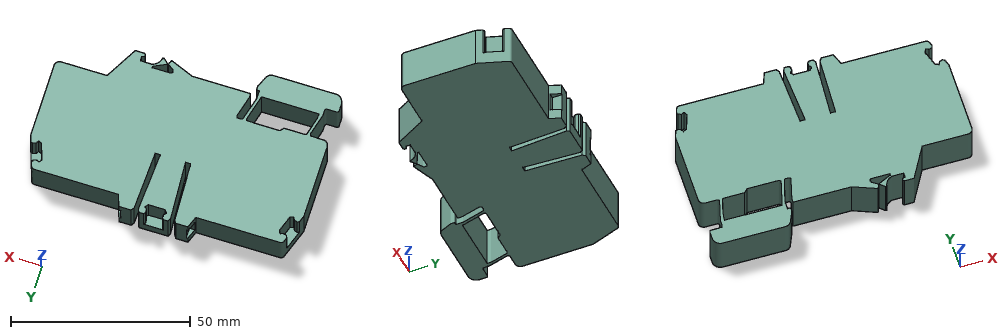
import cadquery as cq
import math


width = 80.0
height = 50.0
thickness = 12.8
half_width = width / 2
shoulder_y = 46.6
base_y = 14.0
side_top_y = 37.2
slant_top_x = 36.7
shoulder_radius = 1.0
base_radius = 1.6

tab_base_x = 11.4
tab_top_x = 10.1
tab_bevel = 0.9
slot_floor_y = 31.9
slot_mouth_outer_x = 5.9
slot_mouth_inner_x = 4.7
slot_floor_outer_x = 5.2
slot_floor_inner_x = 3.7
outer_tab_bevel_width = 0.6
middle_tab_bevel_width = 0.5

notch_bottom_y = 47.0
notch_floor_x = 9.6
notch_bottom_z = 3.4
notch_height = 6.1

pocket_depth = 8.7
pocket_reach = 3.0
pocket_mouth_half = 3.0
pocket_neck_half = 2.5
pocket_neck_start = 0.5
pocket_neck_end = 1.4
pocket_bulge_half = 3.1
pocket_bulge_reach = 2.2
pocket_floor_half = 2.4

rail_y = 7.0
recess_y = 15.0
lean = math.tan(math.radians(15))
leg_top_radius = 0.6
left_leg_outer_x = -36.1
left_leg_inner_x = -34.9
leg_bend_y = 7.8
left_leg_easing_width = 0.2
left_leg_easing_height = 0.7
window_bend_y = 8.3
window_step_start_x = -26.9
window_step_end_x = -25.9
right_leg_inner_x = -18.1
right_leg_outer_x = -17.0
foot_ledge_y = 5.0
foot_ledge_radius = 0.6
foot_left_radius = 2.4
foot_right_radius = 2.0
foot_right_bottom_x = -18.0
foot_nub_x = -16.1
foot_nub_side_y = 4.4
foot_nub_top_y = 5.5
foot_nub_radius = 0.2
gap_right_x = -14.9
gap_bend_y = 8.2

latch_ramp_x = 2.2
latch_bottom_y = 4.3
latch_tip_x = 9.1
latch_pinch = (9.7, 5.7)
latch_pinch_gap = 0.1
latch_slit_left_x = 7.8
latch_slit_left_y = 6.9
latch_slit_top_y = 8.0
latch_slit_end_x = 13.7
latch_slit_end_y = 7.6
latch_slit_radius = 0.4
tongue_left_x = 11.3
tongue_right_x = 11.7
tongue_curve_middle = (12.6, 6.2)
tongue_root_x = 14.1
hook_wall_x = 17.4
hook_tip_x = 16.6
hook_top_y = 5.8
hook_bottom_y = 4.6
hook_bevel = 0.3
hook_corner_x = 19.7
hook_corner_radius = 0.3
housing_bottom_right_x = 25.0


def lean_x(foot_x, foot_y, y):
    """X at height y on a leg face that passes through (foot_x, foot_y)."""
    return foot_x + lean * (y - foot_y)


def rounded_outline(corners):
    """Closed outline through (x, y) corners; a third value rounds that corner with that radius."""
    points = [cq.Vector(*corner[:2]) for corner in corners]
    radii = [corner[2] if len(corner) == 3 else 0 for corner in corners]
    stretches = []
    for i, point in enumerate(points):
        back = (points[i - 1] - point).normalized()
        ahead = (points[(i + 1) % len(points)] - point).normalized()
        half_angle = back.getAngle(ahead) / 2
        setback = radii[i] / math.tan(half_angle)
        arc_middle_distance = radii[i] / math.sin(half_angle) - radii[i]
        inward = (back + ahead).normalized() if radii[i] else cq.Vector()
        start = point + back * setback
        middle = point + inward * arc_middle_distance
        end = point + ahead * setback
        stretches.append((start, middle, end, radii[i]))

    outline = cq.Workplane("XY").moveTo(*stretches[0][2].toTuple()[:2])
    for start, middle, end, radius in stretches[1:] + stretches[:1]:
        outline = outline.lineTo(start.x, start.y)
        if radius:
            outline = outline.threePointArc((middle.x, middle.y), (end.x, end.y))
    return outline.close()


def mirrored(solid):
    return solid.mirror("YZ")


def make_housing():
    """Full-thickness plate with the foot and the right end, before the openings are cut."""
    left_leg_bend_x = left_leg_outer_x + left_leg_easing_width
    foot = [
        (-half_width, base_y, base_radius),
        (lean_x(left_leg_bend_x, leg_bend_y, base_y), base_y, leg_top_radius),
        (left_leg_bend_x, leg_bend_y),
        (left_leg_outer_x, leg_bend_y - left_leg_easing_height),
        (left_leg_outer_x, foot_ledge_y, foot_ledge_radius),
        (-half_width, foot_ledge_y, foot_ledge_radius),
        (-half_width, 0, foot_left_radius),
        (foot_right_bottom_x, 0, foot_right_radius),
        (foot_nub_x, foot_nub_side_y, foot_nub_radius),
        (foot_nub_x, foot_nub_top_y, foot_nub_radius),
        (right_leg_outer_x, foot_nub_top_y),
        (right_leg_outer_x, leg_bend_y),
        (lean_x(right_leg_outer_x, leg_bend_y, recess_y), recess_y, leg_top_radius),
        (lean_x(gap_right_x, gap_bend_y, recess_y), recess_y, leg_top_radius),
        (gap_right_x, gap_bend_y),
        (gap_right_x, rail_y),
    ]
    right_end = [
        (latch_ramp_x, rail_y),
        (latch_tip_x, latch_bottom_y),
        (hook_tip_x, latch_bottom_y),
        (hook_tip_x, hook_bottom_y),
        (hook_corner_x, hook_bottom_y, hook_corner_radius),
        (housing_bottom_right_x, base_y),
        (half_width, base_y, base_radius),
    ]
    right_top = [
        (half_width, side_top_y),
        (slant_top_x, shoulder_y, shoulder_radius),
        (tab_base_x, shoulder_y),
        (tab_top_x, height),
    ]
    left_top = [(-corner[0], *corner[1:]) for corner in reversed(right_top)]
    return rounded_outline(foot + right_end + right_top + left_top).extrude(thickness)


def make_foot_window():
    """Opening between the two legs above the foot's bar."""
    corners = [
        (left_leg_inner_x, rail_y),
        (right_leg_inner_x, rail_y),
        (lean_x(right_leg_inner_x, rail_y, recess_y), recess_y, leg_top_radius),
        (window_step_end_x, recess_y),
        (window_step_start_x, base_y),
        (lean_x(left_leg_inner_x, window_bend_y, base_y), base_y, leg_top_radius),
        (left_leg_inner_x, window_bend_y),
    ]
    return rounded_outline(corners).extrude(thickness)


def make_latch_opening():
    """Slit above the tongue, the pinch below it and the hook's mouth, as one opening."""
    pinch_right = (latch_pinch[0] + latch_pinch_gap, latch_pinch[1])
    slit = rounded_outline([
        (latch_tip_x, latch_bottom_y),
        latch_pinch,
        (latch_slit_left_x, latch_slit_left_y, latch_slit_radius),
        (latch_slit_left_x, latch_slit_top_y, latch_slit_radius),
        (latch_slit_end_x, latch_slit_top_y),
        (latch_slit_end_x, latch_slit_end_y),
        pinch_right,
        (tongue_left_x, latch_bottom_y),
    ]).extrude(thickness)
    hook_mouth = (
        cq.Workplane("XY")
        .moveTo(tongue_right_x, latch_bottom_y)
        .threePointArc(tongue_curve_middle, (tongue_root_x, rail_y))
        .lineTo(hook_wall_x, rail_y)
        .lineTo(hook_wall_x, hook_top_y)
        .lineTo(hook_tip_x, hook_top_y - hook_bevel)
        .lineTo(hook_tip_x, hook_bottom_y + hook_bevel)
        .lineTo(hook_tip_x + hook_bevel, hook_bottom_y)
        .lineTo(hook_tip_x, latch_bottom_y)
        .close()
        .extrude(thickness)
    )
    return slit.union(hook_mouth)


def make_tab_slot():
    """Tapered slot between the middle and the right tab, with a bevelled mouth."""
    bevel_y = height - tab_bevel
    corners = [
        (slot_floor_inner_x, slot_floor_y),
        (slot_floor_outer_x, slot_floor_y),
        (slot_mouth_outer_x, bevel_y),
        (slot_mouth_outer_x + outer_tab_bevel_width, height),
        (slot_mouth_inner_x - middle_tab_bevel_width, height),
        (slot_mouth_inner_x, bevel_y),
    ]
    return rounded_outline(corners).extrude(thickness)


def make_tab_notch():
    """Notch in the outer face of the right tab."""
    return cq.Workplane("XY").box(
        tab_base_x - notch_floor_x, height - notch_bottom_y, notch_height, centered=False
    ).translate((notch_floor_x, notch_bottom_y, notch_bottom_z))


def make_pocket(mouth_x, mouth_y, turn):
    """Marker pocket reaching inward from its mouth; turn 0 opens toward +Y."""
    right_side = [
        (pocket_mouth_half, 0),
        (pocket_neck_half, -pocket_neck_start),
        (pocket_neck_half, -pocket_neck_end),
        (pocket_bulge_half, -pocket_bulge_reach),
        (pocket_floor_half, -pocket_reach),
    ]
    left_side = [(-x, y) for x, y in reversed(right_side)]
    pocket = rounded_outline(right_side + left_side).extrude(pocket_depth)
    pocket = pocket.rotate((0, 0, 0), (0, 0, 1), turn)
    return pocket.translate((mouth_x, mouth_y, thickness - pocket_depth))


slant_angle = math.degrees(math.atan2(shoulder_y - side_top_y, half_width - slant_top_x))
slant_middle_x = (half_width + slant_top_x) / 2
slant_middle_y = (side_top_y + shoulder_y) / 2
corner_pocket = make_pocket(slant_middle_x, slant_middle_y, -slant_angle)

result = make_housing().cut(make_foot_window()).cut(make_latch_opening())
for feature in (make_tab_slot(), make_tab_notch(), corner_pocket):
    result = result.cut(feature).cut(mirrored(feature))
result = result.cut(make_pocket(0, height, 0))